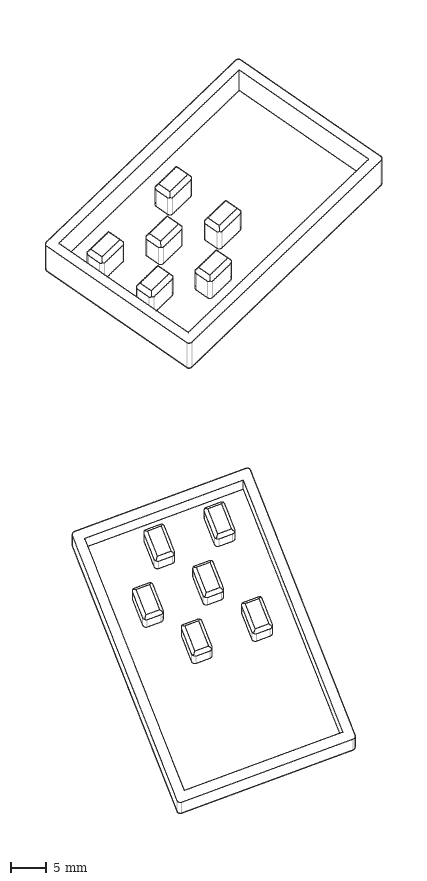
import cadquery as cq

WIDTH = 27.1
LENGTH = 42.7
HEIGHT = 6.5
WALL = 1.5
FLOOR = 1.5
EDGE_RADIUS = 0.5

STUD_WIDTH = 3.1
STUD_LENGTH = 5.0
STUD_HEIGHT = HEIGHT - FLOOR
STUD_CORNER_RADIUS = 0.5
STUD_BEVEL_HEIGHT = 1.0
STUD_BEVEL_INSET = 0.5

ROWS = 3
STUDS_PER_ROW = 2
COLUMN_PITCH = 9.2
ROW_PITCH = 7.47
FIRST_ROW_Y = -15.7
FIRST_COLUMN_X = -0.75 * COLUMN_PITCH


def make_tray():
    """Open box with rounded vertical edges and a rounded bottom rim."""
    body = cq.Workplane("XY").box(WIDTH, LENGTH, HEIGHT, centered=(True, True, False))
    body = body.edges("|Z or <Z").fillet(EDGE_RADIUS)
    cavity = (
        cq.Workplane("XY", origin=(0, 0, FLOOR))
        .rect(WIDTH - 2 * WALL, LENGTH - 2 * WALL)
        .extrude(HEIGHT - FLOOR)
    )
    return body.cut(cavity)


def stud_positions():
    """Centres of the studs, row by row from the -Y end."""
    positions = []
    for row in range(ROWS):
        row_shift = (row % 2) * COLUMN_PITCH / 2
        for column in range(STUDS_PER_ROW):
            x = FIRST_COLUMN_X + row_shift + column * COLUMN_PITCH
            y = FIRST_ROW_Y + row * ROW_PITCH
            positions.append((x, y))
    return positions


def make_studs():
    """Studs with a steep mitred bevel around the top and rounded vertical edges."""
    return (
        cq.Workplane("XY", origin=(0, 0, FLOOR))
        .pushPoints(stud_positions())
        .rect(STUD_WIDTH, STUD_LENGTH)
        .extrude(STUD_HEIGHT)
        .faces(">Z")
        .chamfer(STUD_BEVEL_HEIGHT, STUD_BEVEL_INSET)
        .edges("|Z")
        .fillet(STUD_CORNER_RADIUS)
    )


result = make_tray().union(make_studs())